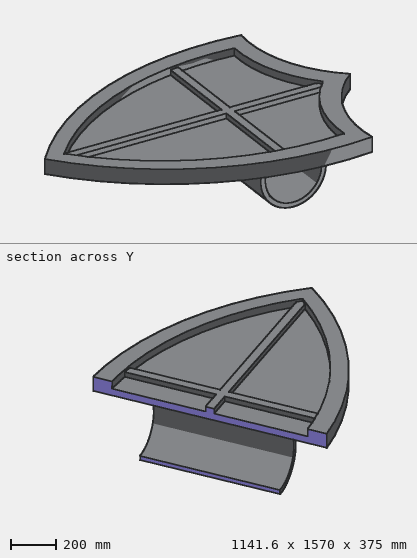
import cadquery as cq

plate_thickness = 75.0
plate_length = 1570.0
shoulder = (562.0, 560.0)
shoulder_arc_point = (235.0, 605.0)
side_arc_point = (516.0, -6.0)

recess_depth = plate_thickness / 2
recess_top_y = 644.0
recess_bottom_y = -686.0
recess_shoulder = (471.0, 471.0)
recess_shoulder_arc_point = (215.0, 509.0)
recess_side_arc_point = (419.0, -36.0)

rib_width = 42.0
rib_height = 25.0
cross_rib_y = 157.0

overall_height = 375.0
tube_length = 680.0
tube_radius = 168.0
tube_wall = 24.0
tube_y = 289.0
tube_z = tube_radius - overall_height


def mirrored(point):
    """Reflect a point across the shield's centre line."""
    return (-point[0], point[1])


def shield(top_y, bottom_y, corner, corner_arc_point, edge_arc_point, base_z, height):
    """Extrude a shield outline with two concave top arcs and two convex side arcs."""
    top_tip = (0, top_y)
    bottom_tip = (0, bottom_y)
    return (
        cq.Workplane("XY", origin=(0, 0, base_z))
        .moveTo(*top_tip)
        .threePointArc(corner_arc_point, corner)
        .threePointArc(edge_arc_point, bottom_tip)
        .threePointArc(mirrored(edge_arc_point), mirrored(corner))
        .threePointArc(mirrored(corner_arc_point), top_tip)
        .close()
        .extrude(height)
    )


def recess_shape(height):
    """Recess outline extruded upward from the recess floor."""
    return shield(
        recess_top_y, recess_bottom_y, recess_shoulder, recess_shoulder_arc_point,
        recess_side_arc_point, -recess_depth, height,
    )


def cross_ribs():
    """Upright and crosswise ribs, trimmed to the recess outline."""
    upright = (
        cq.Workplane("XY", origin=(0, 0, -recess_depth))
        .rect(rib_width, plate_length)
        .extrude(rib_height)
    )
    crossbar = (
        cq.Workplane("XY", origin=(0, cross_rib_y, -recess_depth))
        .rect(plate_length, rib_width)
        .extrude(rib_height)
    )
    return upright.union(crossbar).intersect(recess_shape(rib_height))


def arm_tube():
    """Open tube below the plate, its upper part sunk into the plate."""
    return (
        cq.Workplane("YZ", origin=(-tube_length / 2, tube_y, tube_z))
        .circle(tube_radius)
        .circle(tube_radius - tube_wall)
        .extrude(tube_length)
    )


plate = shield(
    plate_length / 2, -plate_length / 2, shoulder, shoulder_arc_point,
    side_arc_point, -plate_thickness, plate_thickness,
)
result = plate.cut(recess_shape(recess_depth)).union(cross_ribs()).union(arm_tube())